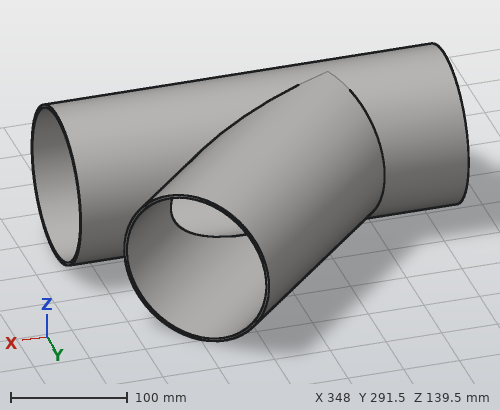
import cadquery as cq
import math

run_length = 348.0
outer_diameter = 139.5
inner_diameter = 134.5

branch_angle = 45.0
branch_root_x = -69.5
overall_width = 291.5

outer_radius = outer_diameter / 2
angle = math.radians(branch_angle)
branch_reach = overall_width - outer_radius
branch_length = (branch_reach - outer_radius * math.cos(angle)) / math.sin(angle)

run_plane = cq.Plane(origin=(-run_length / 2, 0, 0), xDir=(0, 1, 0), normal=(1, 0, 0))
branch_plane = cq.Plane(
    origin=(branch_root_x, 0, 0),
    xDir=(0, 0, 1),
    normal=(math.cos(angle), math.sin(angle), 0),
)


def wye(diameter):
    """Run and branch as one solid, both of the given diameter."""
    run = cq.Workplane(run_plane).circle(diameter / 2).extrude(run_length)
    branch = cq.Workplane(branch_plane).circle(diameter / 2).extrude(branch_length)
    return run.union(branch)


result = wye(outer_diameter).cut(wye(inner_diameter))